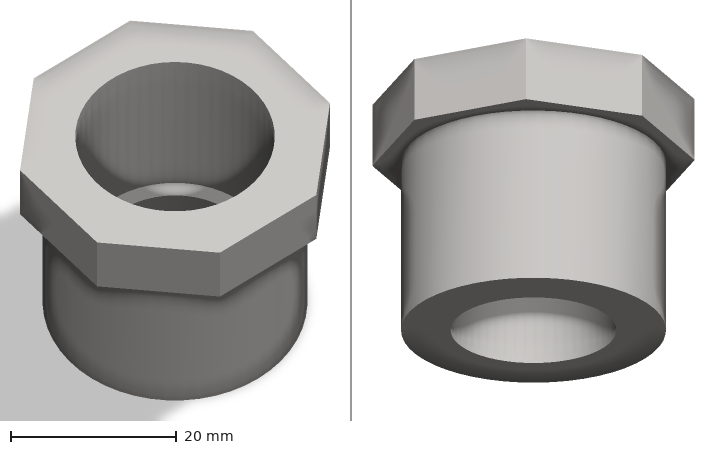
import cadquery as cq

side_count = 8
across_flats = 36.0
head_height = 8.0

total_height = 30.0
spigot_diameter = 32.0
spigot_length = total_height - head_height

socket_diameter = 24.1
socket_depth = spigot_length
bore_diameter = 20.0


def cylinder(diameter, base_height, length):
    """Upright cylinder on the Z axis, starting at base_height."""
    base = cq.Workplane("XY").workplane(offset=base_height)
    return base.circle(diameter / 2).extrude(length)


def octagonal_head():
    """Octagonal prism on top of the spigot, with flats facing X and Y."""
    base = cq.Workplane("XY").workplane(offset=spigot_length)
    return base.polygon(side_count, across_flats, circumscribed=True).extrude(head_height)


spigot = cylinder(spigot_diameter, 0, spigot_length)
socket = cylinder(socket_diameter, total_height - socket_depth, socket_depth)
bore = cylinder(bore_diameter, 0, total_height)

result = spigot.union(octagonal_head()).cut(socket).cut(bore)